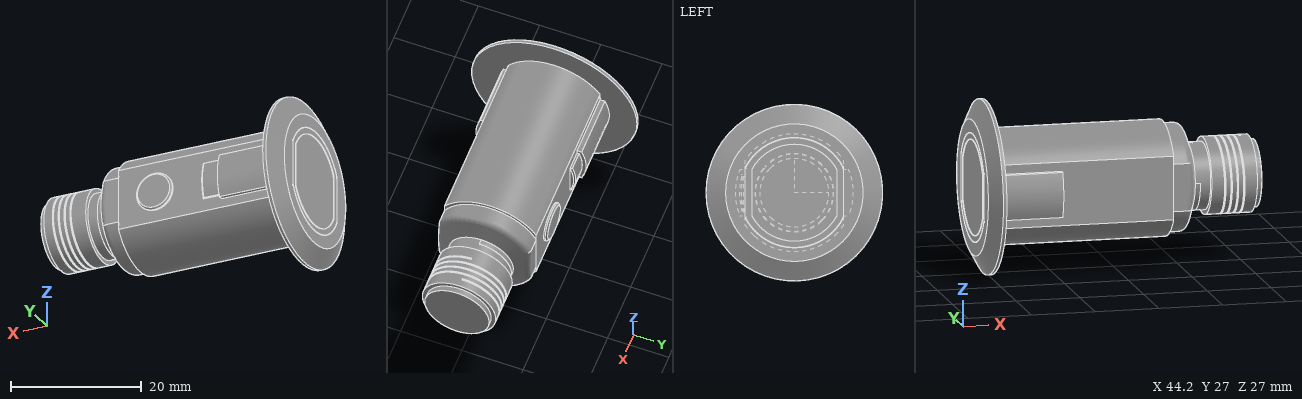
import cadquery as cq


flat_half_width = 7.5
barrel_radius = 9.0
barrel_rear = 29.8
nose_radius = 8.37

bezel_radius = 13.5
bezel_face_radius = 10.5
bezel_thickness = 2.2
bezel_rim_width = 0.55
bezel_bore_radius = 8.43
key_length = 10.0
key_width = 7.06

window_radius = 7.4
window_half_width = 6.5
window_depth = 1.5
window_recess = 0.1

cap_radius = nose_radius
cap_shoulder = 32.54
cap_cone_end = 33.73
cap_fillet = 1.0

stem_radius = 5.25
stem_keyed_start = cap_cone_end
stem_start = 34.55
thread_radius = 6.0
thread_start = 36.15
thread_end = 43.3
connector_end = 44.2

groove_start = 38.0
groove_pitch = 1.0
groove_turns = 4
groove_width = 0.22
groove_depth = 0.08

indicator_start = bezel_thickness + key_length
indicator_end = 15.3
indicator_width = 5.8
indicator_chamfer = 0.25
knob_center = 23.55
knob_radius = 3.05
knob_height = 0.55
knob_chamfer = 0.3


def rod(start, end, radius):
    """Round rod on the X axis."""
    return cq.Workplane("YZ", origin=(start, 0, 0)).circle(radius).extrude(end - start)


def bar(start, end, width_y, width_z):
    """Rectangular bar centred on the X axis."""
    return cq.Workplane("YZ", origin=(start, 0, 0)).rect(width_y, width_z).extrude(end - start)


def flatted_rod(start, end, radius, half_width):
    """Round rod with a flat on its +Y and -Y sides."""
    return rod(start, end, radius).intersect(bar(start, end, 2 * half_width, 2 * radius))


def revolve_about_x(points):
    """Solid of revolution from (x, radius) points."""
    return cq.Workplane("XY").polyline(points).close().revolve(360, (0, 0, 0), (1, 0, 0))


def make_bezel():
    """Conical flange with two keys that lie on the housing flats."""
    flange = revolve_about_x([
        (0, 0),
        (0, bezel_face_radius),
        (bezel_thickness - bezel_rim_width, bezel_radius),
        (bezel_thickness, bezel_radius),
        (bezel_thickness, 0),
    ])
    flange = flange.cut(flatted_rod(0, bezel_thickness, bezel_bore_radius, flat_half_width))
    key_end = bezel_thickness + key_length
    keys = rod(bezel_thickness / 2, key_end, barrel_radius)
    keys = keys.intersect(bar(0, key_end, 2 * barrel_radius, key_width))
    keys = keys.cut(bar(0, key_end, 2 * flat_half_width, 2 * barrel_radius))
    return flange.union(keys)


def make_housing():
    """Flatted barrel with a nose inside the bezel bore and a seat for the window."""
    barrel = flatted_rod(bezel_thickness, barrel_rear, barrel_radius, flat_half_width)
    nose = flatted_rod(0, bezel_thickness, nose_radius, flat_half_width)
    seat = flatted_rod(0, window_depth, window_radius, window_half_width)
    return barrel.union(nose).cut(seat)


def make_window():
    """Flatted window, set slightly below the front face."""
    return flatted_rod(window_recess, window_depth, window_radius, window_half_width)


def collar_key():
    """Quarter of the stem, on the -Y and +Z side, that keys the connector into the cap."""
    length = stem_start - stem_keyed_start
    quarter = cq.Workplane("XY").box(length, stem_radius, stem_radius, centered=False)
    quarter = quarter.translate((stem_keyed_start, -stem_radius, 0))
    return rod(stem_keyed_start, stem_start, stem_radius).intersect(quarter)


def make_cap():
    """Flatted cap with a rounded shoulder, a cone and a notched collar."""
    cap = revolve_about_x([
        (barrel_rear, 0),
        (barrel_rear, cap_radius),
        (cap_shoulder, cap_radius),
        (cap_cone_end, stem_radius),
        (cap_cone_end, 0),
    ])
    cap = cap.intersect(bar(barrel_rear, cap_cone_end, 2 * flat_half_width, 2 * cap_radius))
    shoulder = cq.selectors.BoxSelector(
        (cap_shoulder - cap_fillet / 2, -cap_radius, -2 * cap_radius),
        (cap_cone_end - cap_fillet / 2, cap_radius, 2 * cap_radius),
    )
    cap = cap.edges(shoulder).fillet(cap_fillet)
    collar = rod(cap_cone_end, stem_start, stem_radius).cut(collar_key())
    return cap.union(collar)


def thread_groove():
    """Shallow right-hand V groove that starts on the +Z side of the thread."""
    mouth_radius = thread_radius + groove_depth
    mouth_half_width = groove_width
    path = cq.Wire.makeHelix(groove_pitch, groove_turns * groove_pitch, thread_radius)
    groove = (
        cq.Workplane("XZ")
        .polyline([
            (thread_radius - groove_depth, 0),
            (mouth_radius, mouth_half_width),
            (mouth_radius, -mouth_half_width),
        ])
        .close()
        .sweep(cq.Workplane(obj=path), isFrenet=True)
    )
    groove = groove.rotate((0, 0, 0), (0, 1, 0), 90)
    groove = groove.rotate((0, 0, 0), (1, 0, 0), 180)
    return groove.translate((groove_start, 0, 0))


def make_connector():
    """Round stem with a threaded band."""
    stem = rod(stem_start, connector_end, stem_radius).union(collar_key())
    band = rod(thread_start, thread_end, thread_radius)
    return stem.union(band).cut(thread_groove())


def make_indicator():
    """Curved indicator lens on the +Y flat, behind the key."""
    length = indicator_end - indicator_start
    block = cq.Workplane("XY").box(length, cap_radius, indicator_width, centered=(False, False, True))
    block = block.translate((indicator_start, flat_half_width, 0))
    lens = block.intersect(rod(indicator_start, indicator_end, cap_radius))
    return lens.faces(">X").edges(">Y").chamfer(indicator_chamfer)


def make_knob():
    """Chamfered round knob on the +Y flat."""
    knob = cq.Workplane("XZ", origin=(knob_center, flat_half_width, 0))
    knob = knob.circle(knob_radius).extrude(-knob_height)
    return knob.faces(">Y").edges().chamfer(knob_chamfer)


bezel = make_bezel()
housing = make_housing()
window = make_window()
cap = make_cap()
connector = make_connector()
indicator = make_indicator()
knob = make_knob()
bodies = [bezel, housing, window, cap, connector, indicator, knob]

result = cq.Compound.makeCompound([body.solids().val() for body in bodies])